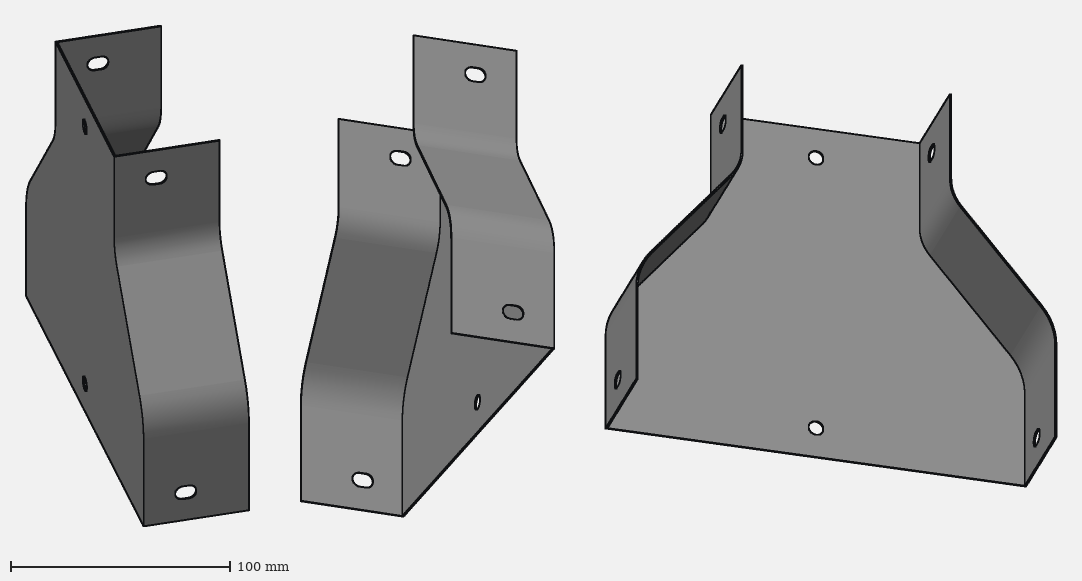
import cadquery as cq
import math

HEIGHT = 170.0
DEPTH = 50.0
BASE_HALF_WIDTH = 100.0
NECK_HALF_WIDTH = 50.0
SHEET = 0.8

TAPER_BOTTOM_Z = 58.6
TAPER_TOP_Z = 118.6
BASE_BEND_RADIUS = 30.0
NECK_BEND_RADIUS = 20.0

HOLE_DIAMETER = 7.0
SLOT_WIDTH = HOLE_DIAMETER
SLOT_LENGTH = 10.0
SLOT_FROM_FRONT = 20.0
FIXING_EDGE_DISTANCE = 15.0
FIXING_HEIGHTS = (FIXING_EDGE_DISTANCE, HEIGHT - FIXING_EDGE_DISTANCE)

TAPER_ANGLE = math.atan2(BASE_HALF_WIDTH - NECK_HALF_WIDTH, TAPER_TOP_Z - TAPER_BOTTOM_Z)


def tapered_prism(inset, y_start, y_end):
    """Solid of the tapered outline, its side walls moved inwards by inset."""
    base_x = BASE_HALF_WIDTH - inset
    neck_x = NECK_HALF_WIDTH - inset
    half_angle = TAPER_ANGLE / 2
    drop = inset * math.tan(half_angle)
    lower_z = TAPER_BOTTOM_Z - drop
    upper_z = TAPER_TOP_Z - drop

    base_radius = BASE_BEND_RADIUS - inset
    neck_radius = NECK_BEND_RADIUS + inset
    base_setback = base_radius * math.tan(half_angle)
    neck_setback = neck_radius * math.tan(half_angle)

    base_start_z = lower_z - base_setback
    neck_end_z = upper_z + neck_setback
    run_x = math.sin(TAPER_ANGLE)
    run_z = math.cos(TAPER_ANGLE)

    base_arc_mid = (
        base_x - base_radius * (1 - math.cos(half_angle)),
        base_start_z + base_radius * math.sin(half_angle),
    )
    base_arc_end = (base_x - base_setback * run_x, lower_z + base_setback * run_z)
    neck_arc_start = (neck_x + neck_setback * run_x, upper_z - neck_setback * run_z)
    neck_arc_mid = (
        neck_x + neck_radius * (1 - math.cos(half_angle)),
        neck_end_z - neck_radius * math.sin(half_angle),
    )
    half = (
        cq.Workplane("XZ", origin=(0, y_start, 0))
        .moveTo(0, 0)
        .lineTo(base_x, 0)
        .lineTo(base_x, base_start_z)
        .threePointArc(base_arc_mid, base_arc_end)
        .lineTo(*neck_arc_start)
        .threePointArc(neck_arc_mid, (neck_x, neck_end_z))
        .lineTo(neck_x, HEIGHT)
        .lineTo(0, HEIGHT)
        .close()
        .extrude(y_start - y_end)
    )
    return half.union(half.mirror("YZ"))


def plate_hole(z):
    """Round hole through the front plate on the centreline."""
    return (
        cq.Workplane("XZ", origin=(0, 0, z))
        .circle(HOLE_DIAMETER / 2)
        .extrude(-SHEET)
    )


def wall_slots(z):
    """Slot running front to back, cut through both side walls."""
    return (
        cq.Workplane("YZ", origin=(0, SLOT_FROM_FRONT, z))
        .slot2D(SLOT_LENGTH, SLOT_WIDTH)
        .extrude(BASE_HALF_WIDTH, both=True)
    )


result = tapered_prism(0, 0, DEPTH).cut(tapered_prism(SHEET, SHEET, DEPTH))

for fixing_z in FIXING_HEIGHTS:
    result = result.cut(plate_hole(fixing_z)).cut(wall_slots(fixing_z))